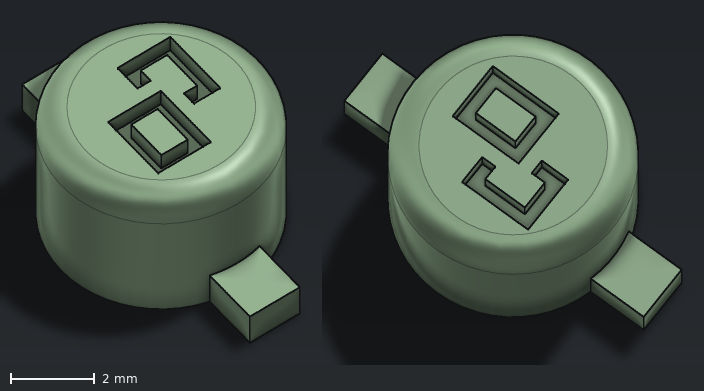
import cadquery as cq

overall_length = 9.0
body_diameter = 6.0
body_height = 4.0
top_fillet = 0.75
tab_width = 1.5
tab_height = 1.0

groove_width = 0.4
groove_depth = 0.5
ring_length = 5 * groove_width
ring_width = 4 * groove_width
ring_center_x = 0.6
ring_center_y = -0.5
ring_shift_x = -3 * groove_width
ring_shift_y = 3 * groove_width


def make_body():
    """Upright cylinder with a rounded top edge."""
    cylinder = cq.Workplane("XY").circle(body_diameter / 2).extrude(body_height)
    return cylinder.faces(">Z").edges().fillet(top_fillet)


def make_tabs():
    """Bar through the base whose ends form the two opposite tabs."""
    return cq.Workplane("XY").rect(overall_length, tab_width).extrude(tab_height)


def pocket_block(length, width, center_x, center_y):
    """Rectangular block reaching down from the top face to the groove floor."""
    return (
        cq.Workplane("XY", origin=(center_x, center_y, body_height))
        .rect(length, width)
        .extrude(-groove_depth)
    )


def ring_groove(center_x, center_y):
    """Rectangular ring of constant groove width."""
    outer = pocket_block(ring_length, ring_width, center_x, center_y)
    island = pocket_block(
        ring_length - 2 * groove_width, ring_width - 2 * groove_width, center_x, center_y
    )
    return outer.cut(island)


def open_ring_groove(center_x, center_y):
    """Rectangular ring with its +X, -Y corner left solid."""
    gap_length = 3 * groove_width
    gap_width = 2 * groove_width
    gap_x = center_x + (ring_length - gap_length) / 2
    gap_y = center_y - (ring_width - gap_width) / 2
    return ring_groove(center_x, center_y).cut(pocket_block(gap_length, gap_width, gap_x, gap_y))


result = (
    make_body()
    .union(make_tabs())
    .cut(ring_groove(ring_center_x, ring_center_y))
    .cut(open_ring_groove(ring_center_x + ring_shift_x, ring_center_y + ring_shift_y))
)